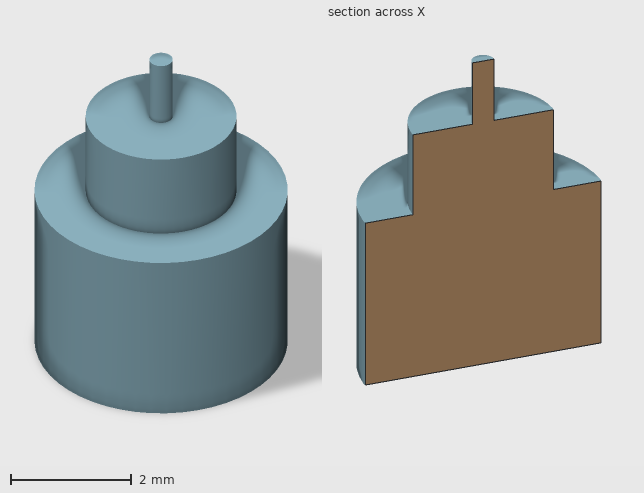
import cadquery as cq

total_height = 5.7
body_diameter = 4.2
body_height = 3.05
collar_diameter = 2.5
collar_height = 1.5
pin_diameter = 0.39
pin_height = total_height - body_height - collar_height


def stacked_cylinder(diameter, height, base_z):
    """Upright cylinder on the Z axis, starting at base_z."""
    return cq.Workplane("XY", origin=(0, 0, base_z)).circle(diameter / 2).extrude(height)


body = stacked_cylinder(body_diameter, body_height, 0)
collar = stacked_cylinder(collar_diameter, collar_height, body_height)
pin = stacked_cylinder(pin_diameter, pin_height, body_height + collar_height)

result = body.union(collar).union(pin)